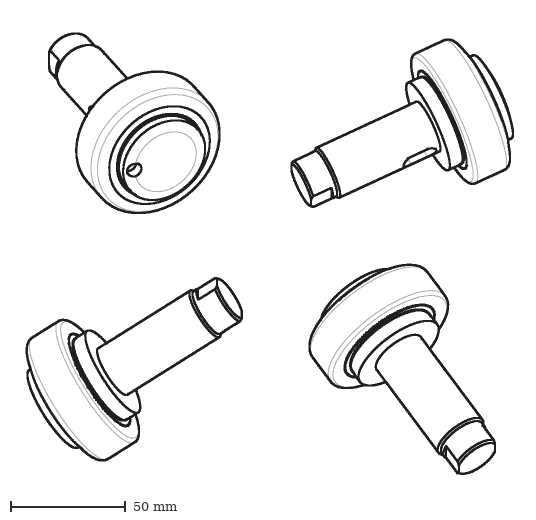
import cadquery as cq
import math

neck_end = 12.0
flange_start = 62.0
flange_end = 68.4
roller_start = 69.0
roller_width = 20.0
roller_end = roller_start + roller_width
collar_end = 89.5
cap_rim_end = 93.5
overall_length = 94.85

neck_diameter = 22.0
shaft_diameter = 24.0
flange_diameter = 42.0
seal_diameter = 41.5
cap_diameter = 40.0
cap_face_diameter = 30.0
ring_groove_diameter = 47.0
roller_diameter = 62.5

end_chamfer = 1.0
flat_length = 10.0
across_flats = 19.0

slot_length = 16.0
slot_width = 8.0
slot_depth = 4.0
slot_center_x = 52.0

crown_radius = 800.0
rear_fillet = 1.5
front_fillet = 2.8
front_cone_angle = math.radians(70.0)
crown_end = 84.6

ring_diameter = 46.6
ring_groove_depth = 0.5

cap_hole_diameter = 6.5
cap_hole_offset = 15.0
cap_hole_depth = 5.0


profile_plane = cq.Plane(origin=(0, 0, 0), xDir=(1, 0, 0), normal=(0, 1, 0))


def cylinder(diameter, start, end):
    """Cylinder on the X axis between two axial stations."""
    section_plane = cq.Plane(origin=(start, 0, 0), xDir=(0, 0, -1), normal=(1, 0, 0))
    return cq.Workplane(section_plane).circle(diameter / 2).extrude(end - start)


def make_shaft():
    """Thinner neck and main shaft, both chamfered at their free end."""
    neck = cylinder(neck_diameter, 0, neck_end).faces("<X").chamfer(end_chamfer)
    step_chamfer = (shaft_diameter - neck_diameter) / 2
    body = cylinder(shaft_diameter, neck_end, flange_start).faces("<X").chamfer(step_chamfer)
    return neck.union(body)


def make_flats():
    """Material removed on both Y sides of the shaft end."""
    band = cylinder(neck_diameter, 0, flat_length)
    core = cq.Workplane("XY").box(2 * flat_length, across_flats, neck_diameter)
    return band.cut(core)


def make_slot():
    """Round-ended slot cut inward from the -Y side of the shaft."""
    return (
        cq.Workplane("XZ", origin=(slot_center_x, -shaft_diameter / 2 + slot_depth, 0))
        .slot2D(slot_length, slot_width)
        .extrude(slot_depth)
    )


def make_roller():
    """Crowned rim with a rounded rear edge and a rounded, coned front edge."""
    crown_start = roller_start + rear_fillet
    crown_middle = (crown_start + crown_end) / 2
    half_crown = (crown_end - crown_start) / 2
    top = roller_diameter / 2
    edge = top - half_crown**2 / (2 * crown_radius)
    diagonal = math.sin(math.radians(45))

    def front_arc(angle):
        """Point on the front fillet, turned by this angle from the crown's end."""
        return (
            crown_end + front_fillet * math.sin(angle),
            edge - front_fillet * (1 - math.cos(angle)),
        )

    cone_start = front_arc(front_cone_angle)
    cone_drop = (roller_end - cone_start[0]) * math.tan(front_cone_angle)
    return (
        cq.Workplane(profile_plane)
        .moveTo(roller_start, 0)
        .lineTo(roller_start, edge - rear_fillet)
        .threePointArc(
            (crown_start - rear_fillet * diagonal, edge - rear_fillet * (1 - diagonal)),
            (crown_start, edge),
        )
        .threePointArc((crown_middle, top), (crown_end, edge))
        .threePointArc(front_arc(front_cone_angle / 2), cone_start)
        .lineTo(roller_end, cone_start[1] - cone_drop)
        .lineTo(roller_end, 0)
        .close()
        .revolve(360, (0, 0, 0), (1, 0, 0))
    )


def make_ring_groove():
    """Thin annular groove in the rear face of the roller."""
    groove_end = roller_start + ring_groove_depth
    outer = cylinder(ring_groove_diameter, roller_start, groove_end)
    return outer.cut(cylinder(ring_diameter, roller_start, groove_end))


def make_cap():
    """Disc whose outer face falls away as a shallow cone."""
    return (
        cq.Workplane(profile_plane)
        .moveTo(collar_end, 0)
        .lineTo(collar_end, cap_diameter / 2)
        .lineTo(cap_rim_end, cap_diameter / 2)
        .lineTo(overall_length, cap_face_diameter / 2)
        .lineTo(overall_length, 0)
        .close()
        .revolve(360, (0, 0, 0), (1, 0, 0))
    )


def make_cap_hole():
    """Blind hole parallel to X, on the same side as the slot."""
    hole = cylinder(cap_hole_diameter, overall_length - cap_hole_depth, overall_length)
    return hole.translate((0, -cap_hole_offset, 0))


result = (
    make_shaft()
    .cut(make_flats())
    .cut(make_slot())
    .union(cylinder(flange_diameter, flange_start, flange_end))
    .union(cylinder(seal_diameter, flange_end, roller_start))
    .union(make_roller().cut(make_ring_groove()))
    .union(cylinder(seal_diameter, roller_end, collar_end))
    .union(make_cap())
    .cut(make_cap_hole())
)